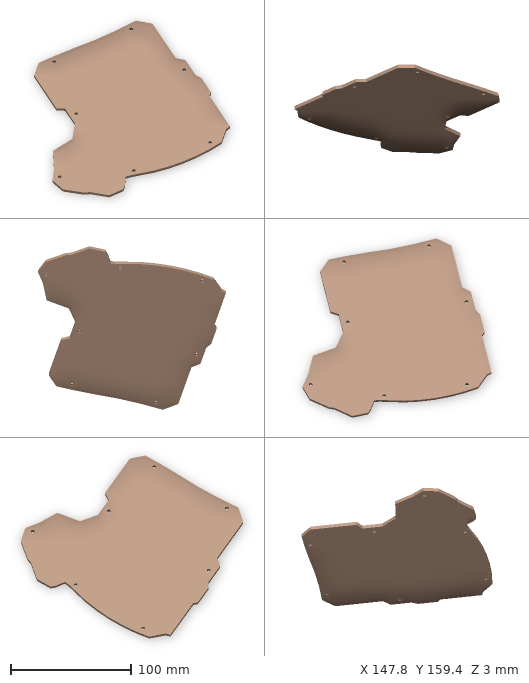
import cadquery as cq

width = 147.8
length = 159.4
thickness = 3.0
hole_diameter = 3.0

right = width / 2
left = -right
top = length / 2
bottom = -top

left_shoulder_y = 70.6
main_top_y = 76.8
lower_left_y = -41.5
lower_step_y = -35.2

hole_centers = [
    (-9.7, 71.1),
    (66.3, 54.4),
    (-67.8, 52.3),
    (61.4, -15.3),
    (-68.7, -20.1),
    (-12.9, -29.5),
    (37.5, -72.7),
]


def plate_outline():
    """Closed outline, clockwise from the upper end of the left side."""
    upper_edge = [
        (-64.1, left_shoulder_y),
        (-23.8, left_shoulder_y),
        (-18.3, main_top_y),
        (-0.5, main_top_y),
        (4.5, top),
        (21.0, top),
        (23.6, main_top_y),
        (59.3, main_top_y),
        (60.5, 72.7),
        (70.3, 63.0),
    ]
    right_bulge = (72.9, 30.3)
    right_bulge_end = (69.5, 0.0)
    lower_lobe = [
        (64.2, -20.0),
        (63.6, -24.4),
        (70.8, -28.9),
        (right, -31.9),
        (right, -45.5),
        (63.3, -58.0),
        (61.5, -62.5),
        (50.2, -76.4),
        (37.8, bottom),
        (27.7, -72.7),
        (11.3, -64.9),
        (8.1, -44.6),
    ]
    lower_left_edge = [
        (-5.0, lower_step_y),
        (-22.0, lower_step_y),
        (-25.8, lower_left_y),
        (-64.5, lower_left_y),
        (left, -32.2),
        (left, -17.5),
        (-73.3, 0.8),
    ]
    left_hollow = (-72.2, 28.7)
    left_side_top = (-73.5, 60.0)
    return (
        cq.Workplane("XY")
        .polyline([left_side_top] + upper_edge)
        .threePointArc(right_bulge, right_bulge_end)
        .polyline(lower_lobe + lower_left_edge, includeCurrent=True)
        .threePointArc(left_hollow, left_side_top)
        .close()
    )


def mounting_holes():
    """Cutters for the through holes near the rim."""
    return cq.Workplane("XY").pushPoints(hole_centers).circle(hole_diameter / 2).extrude(thickness)


plate = plate_outline().extrude(thickness)
result = plate.cut(mounting_holes())